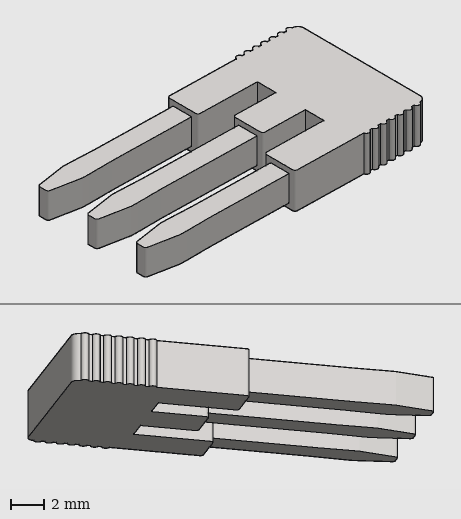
import cadquery as cq

total_length = 22.7
housing_width = 10.99
housing_height = 3.0
back_corner_radius = 0.48
leg_corner_radius = 0.2
outer_leg_length = 10.99
middle_leg_length = 9.58
slot_start = 6.0
middle_leg_width = 2.55
slot_width = 1.6

rib_count = 7
rib_pitch = 0.7
first_rib_offset = 0.73
rib_radius = 0.25
rib_projection = 0.2

pin_spacing = 4.2
pin_height = 2.15
pin_width = 1.6
flare_width = 1.7
tip_width = 0.85
tip_radius = 0.2
flare_start = 17.6
flare_end = 19.65
taper_start = 20.2

back_y = total_length / 2
tip_y = -total_length / 2


def make_block(width, length, height, x, far_y):
    """Block centred on x and on Z = 0, running from far_y toward -Y."""
    return cq.Workplane("XY").box(width, length, height).translate((x, far_y - length / 2, 0))


def make_housing():
    housing = make_block(housing_width, outer_leg_length, housing_height, 0, back_y)
    housing = housing.edges("|Z and >Y").fillet(back_corner_radius)

    slot_length = outer_leg_length - slot_start
    slot_x = (middle_leg_width + slot_width) / 2
    for side in (-1, 1):
        slot = make_block(slot_width, slot_length, housing_height, side * slot_x, back_y - slot_start)
        housing = housing.cut(slot)

    middle_trim = make_block(
        middle_leg_width,
        outer_leg_length - middle_leg_length,
        housing_height,
        0,
        back_y - middle_leg_length,
    )
    housing = housing.cut(middle_trim)

    housing = housing.faces("<Y").edges("|Z").fillet(leg_corner_radius)
    middle_end = cq.selectors.NearestToPointSelector((0, back_y - middle_leg_length, 0))
    return housing.faces(middle_end).edges("|Z").fillet(leg_corner_radius)


def make_ribs():
    rib_x = housing_width / 2 + rib_projection - rib_radius
    centers = []
    for index in range(rib_count):
        rib_y = back_y - first_rib_offset - index * rib_pitch
        centers += [(-rib_x, rib_y), (rib_x, rib_y)]
    ribs = cq.Workplane("XY").pushPoints(centers).circle(rib_radius)
    return ribs.extrude(housing_height / 2, both=True)


def make_pin(x):
    """Pin along Y, rooted inside the solid back of the housing."""
    right_side = [
        (pin_width / 2, back_y - slot_start),
        (pin_width / 2, back_y - flare_start),
        (flare_width / 2, back_y - flare_end),
        (flare_width / 2, back_y - taper_start),
        (tip_width / 2, tip_y),
    ]
    left_side = [(-px, py) for px, py in reversed(right_side)]
    pin = cq.Workplane("XY").polyline(right_side + left_side).close()
    pin = pin.extrude(pin_height / 2, both=True)
    pin = pin.faces("<Y").edges("|Z").fillet(tip_radius)
    return pin.translate((x, 0, 0))


result = make_housing().union(make_ribs())
for pin_x in (-pin_spacing, 0, pin_spacing):
    result = result.union(make_pin(pin_x))